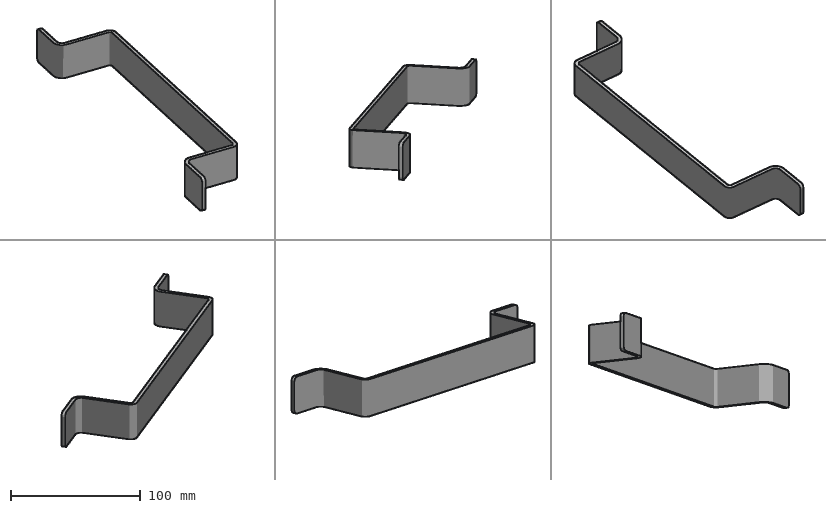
import cadquery as cq

overall_length = 260.0
overall_depth = 50.0
strip_height = 30.0
thickness = 3.0
bridge_length = 200.0
top_inner_radius = 2.0
foot_inner_radius = 4.7
foot_corner_radius = 3.0

half_length = overall_length / 2
half_bridge = bridge_length / 2
half_depth = overall_depth / 2

leg_x = half_bridge - thickness / 2
foot_y = -half_depth + thickness / 2
bridge_y = half_depth - thickness / 2


def bend(body, x, y, inner_radius, outward):
    """Round both faces of the strip where its centre line turns at (x, y).

    outward is +1 where the outer face lies toward +Y and away from the middle,
    and -1 where it lies toward -Y and toward the middle.
    """
    side = 1 if x > 0 else -1
    offset = outward * thickness / 2
    outer = (x + side * offset, y + offset, 0)
    inner = (x - side * offset, y - offset, 0)
    body = body.edges(cq.selectors.NearestToPointSelector(outer)).fillet(inner_radius + thickness)
    return body.edges(cq.selectors.NearestToPointSelector(inner)).fillet(inner_radius)


def hat_blank():
    """Sharp-cornered hat profile, centred on the origin and extruded along Z."""
    inner_x = half_bridge - thickness
    right_outline = [
        (half_bridge, half_depth),
        (half_bridge, -half_depth + thickness),
        (half_length, -half_depth + thickness),
        (half_length, -half_depth),
        (inner_x, -half_depth),
        (inner_x, half_depth - thickness),
    ]
    left_outline = [(-x, y) for x, y in reversed(right_outline)]
    return (
        cq.Workplane("XY")
        .polyline(right_outline + left_outline)
        .close()
        .extrude(strip_height / 2, both=True)
    )


result = hat_blank()
for side in (-1, 1):
    result = bend(result, side * leg_x, bridge_y, top_inner_radius, 1)
    result = bend(result, side * leg_x, foot_y, foot_inner_radius, -1)

result = result.faces("<X or >X").edges("|Y").fillet(foot_corner_radius)